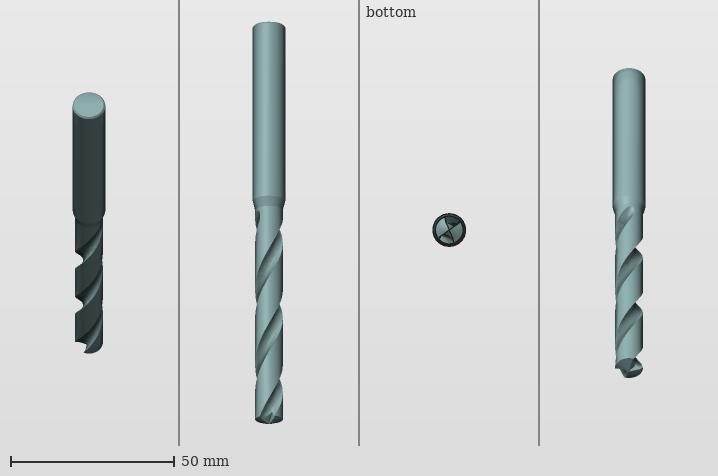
import cadquery as cq
import math

shank_diameter = 10.0
drill_diameter = 8.5
overall_length = 128.0
cutting_length = 51.2
cone_bottom = 68.9
cone_top = 71.9
top_chamfer = 0.5
point_angle = 140.0

flute_count = 2
flute_lead = 48.0
core_diameter = 3.6
flute_opening_angle = 68.0
flute_start_angle = -85.0
flute_helix_top = 63.0
flute_overrun = 2.0

runout_height = 7.0
runout_outward = 2.0
runout_sideways = 5.0

gash_peak = cq.Vector(1.7, -1.2, 3.4)
gash_left = cq.Vector(-1.3, -2.5, 0.7)
gash_right = cq.Vector(2.8, -2.0, 1.2)
gash_inner_end = cq.Vector(0.1, -0.1, 0.2)
gash_overrun = 0.25

shank_radius = shank_diameter / 2
drill_radius = drill_diameter / 2
core_radius = core_diameter / 2
point_height = drill_radius / math.tan(math.radians(point_angle / 2))

half_opening = math.radians(flute_opening_angle / 2)
flute_offset = (drill_radius**2 - core_radius**2) / (
    2 * (drill_radius * math.cos(half_opening) - core_radius)
)
flute_radius = flute_offset - core_radius

z_axis = ((0, 0, 0), (0, 0, 1))


def flute_angle(height):
    return flute_start_angle + 360.0 * height / flute_lead


def make_flute_helix():
    height = flute_helix_top + flute_overrun
    return (
        cq.Workplane("XY")
        .moveTo(flute_offset, 0)
        .circle(flute_radius)
        .twistExtrude(height, 360.0 * height / flute_lead)
        .rotate(*z_axis, flute_angle(-flute_overrun))
        .translate((0, 0, -flute_overrun))
    )


def make_flute_runout():
    outline = cq.Wire.makeCircle(flute_radius, cq.Vector(flute_offset, 0, 0), cq.Vector(0, 0, 1))
    direction = cq.Vector(runout_outward, runout_sideways, runout_height)
    return (
        cq.Workplane(cq.Solid.extrudeLinear(outline, [], direction))
        .rotate(*z_axis, flute_angle(flute_helix_top))
        .translate((0, 0, flute_helix_top))
    )


def make_gash():
    gash_floor = gash_left + gash_right - gash_peak
    outline = cq.Wire.makePolygon([gash_peak, gash_left, gash_floor, gash_right], close=True)
    inward = gash_inner_end - gash_peak
    gash = cq.Solid.extrudeLinear(outline, [], inward * (1 + gash_overrun))
    return cq.Workplane(gash.translate(inward * -gash_overrun))


def cut_at_each_flute(body, tool):
    for i in range(flute_count):
        body = body.cut(tool.rotate(*z_axis, i * 360.0 / flute_count))
    return body


def revolve_about_z(plane, profile):
    return cq.Workplane(plane).polyline(profile).close().revolve(360, (0, 0), (0, 1))


def make_cutting_body():
    body = revolve_about_z("XZ", [
        (0, 0),
        (-drill_radius, point_height),
        (-drill_radius, cutting_length),
        (0, cutting_length),
    ])
    body = cut_at_each_flute(body, make_flute_helix())
    return cut_at_each_flute(body, make_gash())


def make_shank_body():
    body = revolve_about_z("YZ", [
        (0, cutting_length),
        (-drill_radius, cutting_length),
        (-drill_radius, cone_bottom),
        (-shank_radius, cone_top),
        (-shank_radius, overall_length - top_chamfer),
        (-shank_radius + top_chamfer, overall_length),
        (0, overall_length),
    ])
    body = cut_at_each_flute(body, make_flute_helix())
    return cut_at_each_flute(body, make_flute_runout())


cutting_body = make_cutting_body()
shank_body = make_shank_body()
result = cq.Compound.makeCompound([cutting_body.solids().val(), shank_body.solids().val()])